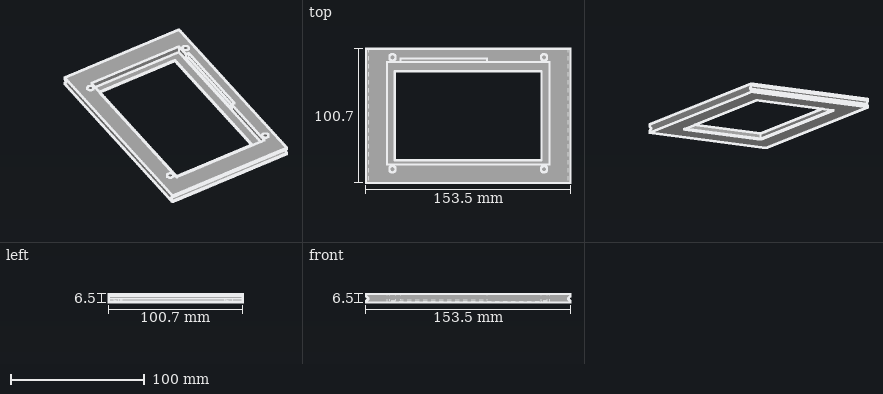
import cadquery as cq

plate_length = 153.5
plate_width = 100.7
plate_thickness = 6.5

window_length = 109.7
window_width = 66.5

recess_length = 121.7
recess_width = 77.0
recess_center_y = 1.9
recess_depth = 5.7

relief_length = 65.0
relief_reach = 2.5
relief_center_x = -18.3
relief_depth = 4.5

hole_diameter = 4.8
hole_spacing_x = 113.5
hole_spacing_y = 83.8
hole_depth = 5.0

groove_height = 4.0
groove_depth = 2.0
groove_center_z = -0.25

top_z = plate_thickness / 2
end_x = plate_length / 2
recess_back_y = recess_center_y + recess_width / 2


def pocket_from_top(length, width, depth, center_x, center_y):
    """Rectangular cutter reaching down from the top face."""
    return (
        cq.Workplane("XY", origin=(center_x, center_y, top_z))
        .rect(length, width)
        .extrude(-depth)
    )


def screw_holes():
    """Four blind hole cutters centred on the recess."""
    return (
        cq.Workplane("XY", origin=(0, recess_center_y, top_z))
        .rect(hole_spacing_x, hole_spacing_y, forConstruction=True)
        .vertices()
        .circle(hole_diameter / 2)
        .extrude(-hole_depth)
    )


def end_groove(side):
    """V-groove cutter along Y on the end face at +X (side=1) or -X (side=-1)."""
    return (
        cq.Workplane("XZ", origin=(0, 0, groove_center_z))
        .moveTo(side * end_x, groove_height / 2)
        .lineTo(side * (end_x - groove_depth), 0)
        .lineTo(side * end_x, -groove_height / 2)
        .close()
        .extrude(plate_width / 2, both=True)
    )


plate = cq.Workplane("XY").box(plate_length, plate_width, plate_thickness)
window = pocket_from_top(window_length, window_width, plate_thickness, 0, 0)
recess = pocket_from_top(recess_length, recess_width, recess_depth, 0, recess_center_y)

relief = pocket_from_top(relief_length, 2 * relief_reach, relief_depth, relief_center_x, recess_back_y)

result = plate.cut(window).cut(recess).cut(relief).cut(screw_holes())
for side in (-1, 1):
    result = result.cut(end_groove(side))